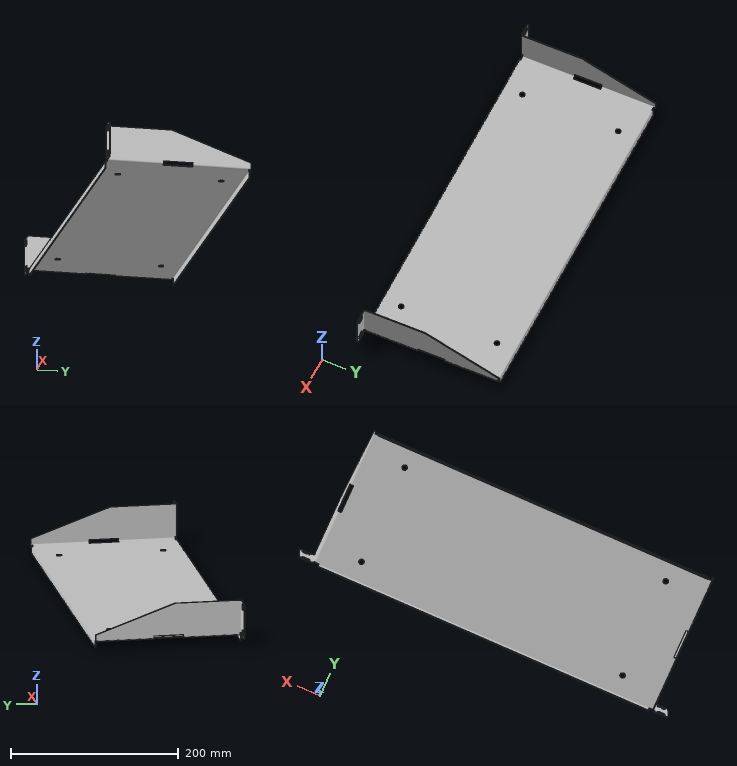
import cadquery as cq

overall_width = 482.8
depth = 177.5
overall_height = 51.5

sheet = 1.2
inner_radius = 1.0
outer_radius = inner_radius + sheet

floor_top = 9.0
flange_width = 432.5
flange_corner_radius = 2.0
floor_hole_diameter = 6.5
floor_hole_spacing_x = 342.0
floor_hole_spacing_y = 126.5

tray_width = 444.0
wall_knee_y = -7.5
wall_rear_height = 17.0
window_length = 35.5
window_top = 12.0
window_inner_width = 435.5

ear_height = 44.0
ear_corner_radius = 5.0
ear_slot_length = 10.0
ear_slot_width = 6.8
ear_slot_spacing_x = 465.0
ear_slot_spacing_z = 32.0
ear_relief_clearance = 1.0

front_y = -depth / 2
rear_y = depth / 2
front_bend_y = front_y + outer_radius
rear_bend_y = rear_y - outer_radius
floor_bottom = floor_top - sheet
wall_bend_top = floor_bottom + outer_radius
wall_outer_x = tray_width / 2
wall_inner_x = wall_outer_x - sheet
wall_bend_x = wall_outer_x - outer_radius
ear_bend_x = wall_inner_x + outer_radius
ear_bottom = overall_height - ear_height


def block(x_range, y_range, z_range):
    """Box given by its lower and upper limit along each axis."""
    size = [high - low for low, high in (x_range, y_range, z_range)]
    corner = (x_range[0], y_range[0], z_range[0])
    return cq.Workplane("XY").box(*size, centered=False).translate(corner)


def make_tray():
    """Floor with the two side walls bent up from it."""
    y_range = (front_bend_y, rear_y)
    outside = block((-wall_outer_x, wall_outer_x), y_range, (floor_bottom, overall_height))
    inside = block((-wall_inner_x, wall_inner_x), y_range, (floor_top, overall_height))
    tray = outside.edges("|Y and <Z").fillet(outer_radius)
    tray = tray.cut(inside.edges("|Y and <Z").fillet(inner_radius))

    rear_strip = block((-wall_bend_x, wall_bend_x), (rear_bend_y, rear_y), (floor_bottom, floor_top))
    tray = tray.cut(rear_strip)

    slope = (
        cq.Workplane("YZ")
        .moveTo(wall_knee_y, overall_height)
        .lineTo(rear_y, wall_rear_height)
        .lineTo(rear_y, overall_height)
        .close()
        .extrude(wall_outer_x, both=True)
    )
    return tray.cut(slope)


def make_flanges():
    """Floor strip with the front and rear flanges bent down from it."""
    x_range = (-flange_width / 2, flange_width / 2)
    outside = block(x_range, (front_y, rear_y), (0, floor_top))
    inside = block(x_range, (front_y + sheet, rear_y - sheet), (0, floor_bottom))
    flanges = outside.edges("|X and >Z").fillet(outer_radius)
    flanges = flanges.cut(inside.edges("|X and >Z").fillet(inner_radius))
    return flanges.edges("|Y and <Z").fillet(flange_corner_radius)


def make_ear():
    """Rack ear on the +X side, with the bend that joins it to the wall."""
    ear_end_x = overall_width / 2
    ear = (
        cq.Workplane("XY", origin=(0, 0, ear_bottom))
        .moveTo(wall_inner_x, front_bend_y)
        .radiusArc((ear_bend_x, front_y), -outer_radius)
        .lineTo(ear_end_x, front_y)
        .lineTo(ear_end_x, front_y + sheet)
        .lineTo(ear_bend_x, front_y + sheet)
        .radiusArc((wall_outer_x, front_bend_y), inner_radius)
        .close()
        .extrude(ear_height)
    )
    ear = ear.edges("|Y and >X").fillet(ear_corner_radius)

    relief = block(
        (wall_inner_x, ear_bend_x + ear_relief_clearance),
        (front_y, front_bend_y),
        (ear_bottom, wall_bend_top + ear_relief_clearance),
    )
    ear = ear.cut(relief)

    slot_middle_z = ear_bottom + ear_height / 2
    slots = (
        cq.Workplane("XZ")
        .pushPoints([
            (ear_slot_spacing_x / 2, slot_middle_z - ear_slot_spacing_z / 2),
            (ear_slot_spacing_x / 2, slot_middle_z + ear_slot_spacing_z / 2),
        ])
        .slot2D(ear_slot_length, ear_slot_width)
        .extrude(depth, both=True)
    )
    return ear.cut(slots)


def make_floor_holes():
    return (
        cq.Workplane("XY")
        .rarray(floor_hole_spacing_x, floor_hole_spacing_y, 2, 2)
        .circle(floor_hole_diameter / 2)
        .extrude(overall_height)
    )


def make_window():
    """Cutter for the opening across the +X bend between floor and wall."""
    return block(
        (window_inner_width / 2, wall_outer_x),
        (-window_length / 2, window_length / 2),
        (floor_bottom, window_top),
    )


ear = make_ear()
window = make_window()
result = (
    make_tray()
    .union(make_flanges())
    .union(ear)
    .union(ear.mirror("YZ"))
    .cut(make_floor_holes())
    .cut(window)
    .cut(window.mirror("YZ"))
)